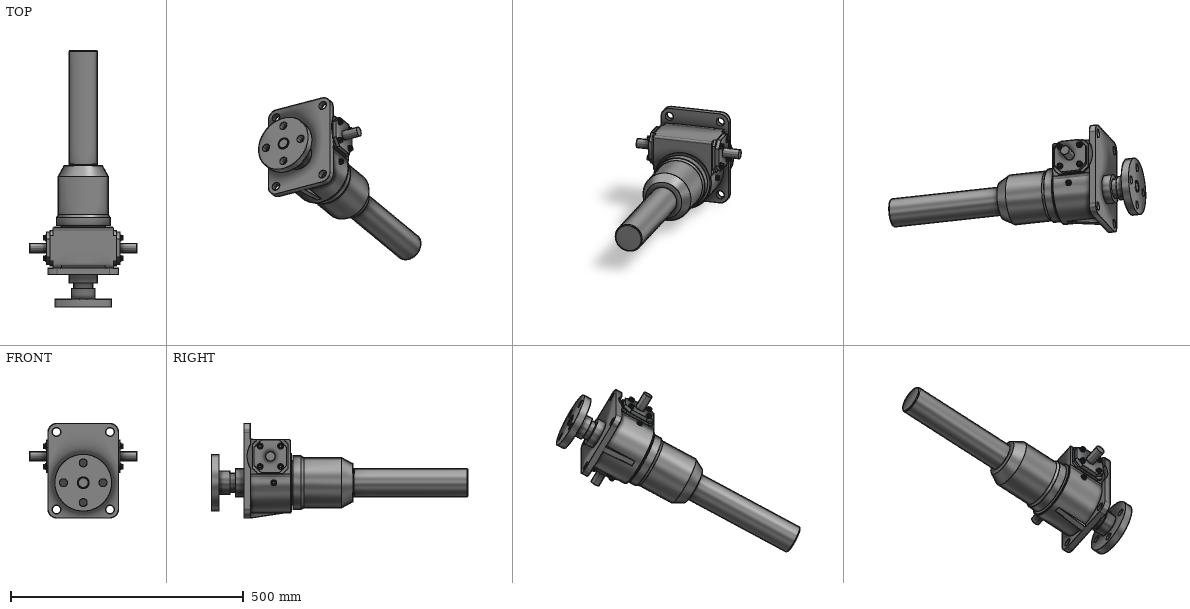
import cadquery as cq
import math

OVERALL_LENGTH = 551.1

PLATE_WIDTH = 152.0
PLATE_TOP = 127.6
PLATE_BOTTOM = -76.01
PLATE_THICKNESS = 14.0
PLATE_CORNER_RADIUS = 20.0
PLATE_HEIGHT = PLATE_TOP - PLATE_BOTTOM
PLATE_MID_Z = (PLATE_TOP + PLATE_BOTTOM) / 2
PLATE_HOLE_DIAMETER = 18.0
PLATE_HOLE_INSET = 18.5

WORM_Y = 56.7
WORM_Z = 56.7
WORM_SHAFT_RADIUS = 10.0
WORM_SHAFT_LENGTH = 230.69

BARREL_RADIUS = 65.0
HOUSING_BACK = 100.0
BOX_WIDTH = 131.0
BOX_HALF_HEIGHT = 36.6
BOX_TOP = WORM_Z + BOX_HALF_HEIGHT
BOX_BOTTOM = WORM_Z - BOX_HALF_HEIGHT
BOX_BACK_EDGE_RADIUS = 4.5
BOX_BARREL_FILLET = 5.6
RIB_THICKNESS = 12.0
RIB_BACK = 86.0
FOOT_WIDTH = 93.0
FOOT_LENGTH = 5.5
FOOT_RISE = 1.0

PAD_X = 71.0
PAD_HALF_LENGTH = 38.0
PAD_CORNER = 10.5
COVER_X = 79.0
COVER_HALF_SIZE = 35.0
COVER_CORNER = 15.5
PLATE_RELIEF_RADIUS = 50.0

BOLT_OFFSET = 22.0
WASHER_RADIUS = 6.25
WASHER_THICKNESS = 1.6
HEAD_RADIUS = 5.0
HEAD_HEIGHT = 4.6
SOCKET_ACROSS_FLATS = 5.0
SOCKET_DEPTH = 3.0
PLUG_Y = 64.0

COLLAR_RADIUS = 30.5
COLLAR_FRONT = -18.3
DISC_RADIUS = 62.5
DISC_BACK = 102.0
NECK_RADIUS = 47.7
RING_RADIUS = 58.0
RING_FRONT = 105.0
RING_BACK = 122.5
FLARE_RADIUS = 57.0
BELL_RADIUS = 54.0
BELL_FRONT = 128.5
BELL_SHOULDER = 210.0
BELL_BACK = 233.7
BELL_BACK_RADIUS = 41.0

SCREW_RADIUS = 20.8
SCREW_BACK = 450.0
PIN_RADIUS = 12.5
PIN_CHAMFER = 2.0
FLANGE_FRONT = -69.8
FLANGE_RADIUS = 61.0
FLANGE_THICKNESS = 16.7
FLANGE_HOLE_DIAMETER = 17.0
FLANGE_HOLE_CIRCLE_RADIUS = 42.5
HUB_RADIUS = 25.3
HUB_BACK = -30.0

TUBE_FRONT = 236.5
TUBE_BACK = FLANGE_FRONT + OVERALL_LENGTH
TUBE_RADIUS = 30.5
TUBE_CHAMFER = 2.0


def turned(profile):
    """Solid of revolution about the Y axis from (radius, Y) points."""
    return cq.Workplane("XY").polyline(profile).close().revolve(360, (0, 0, 0), (0, 1, 0))


def cylinder_y(radius, y_start, y_end, x=0.0, z=0.0):
    """Cylinder parallel to Y between two Y positions."""
    axis_start = cq.Vector(x, y_start, z)
    return cq.Workplane(obj=cq.Solid.makeCylinder(radius, y_end - y_start, axis_start, cq.Vector(0, 1, 0)))


def side_plane(side, x):
    """Plane facing outwards at distance x on the given side (+1 or -1); local Y is Z."""
    return cq.Plane(origin=(side * x, 0, 0), xDir=(0, side, 0), normal=(side, 0, 0))


def chamfered_block(side, x_start, x_end, half_length, half_height, corner):
    """Block about the worm axis, with cut corners, standing outwards along X."""
    block = cq.Workplane(side_plane(side, x_start)).center(side * WORM_Y, WORM_Z)
    block = block.rect(2 * half_length, 2 * half_height).extrude(x_end - x_start)
    return block.edges("|X").chamfer(corner)


def bolt_head(side, x_seat, y, z):
    """Washer and hexagon socket head standing on a seat at distance x_seat."""
    washer = cq.Workplane(side_plane(side, x_seat)).center(side * y, z)
    washer = washer.circle(WASHER_RADIUS).extrude(WASHER_THICKNESS)
    head = cq.Workplane(side_plane(side, x_seat + WASHER_THICKNESS)).center(side * y, z)
    head = head.circle(HEAD_RADIUS).extrude(HEAD_HEIGHT)
    across_corners = SOCKET_ACROSS_FLATS / math.cos(math.pi / 6)
    socket_floor = x_seat + WASHER_THICKNESS + HEAD_HEIGHT - SOCKET_DEPTH
    socket = cq.Workplane(side_plane(side, socket_floor)).center(side * y, z)
    head = head.cut(socket.polygon(6, across_corners).extrude(SOCKET_DEPTH))
    return washer.union(head)


def make_plate():
    plate = cq.Workplane("XY").box(PLATE_WIDTH, PLATE_THICKNESS, PLATE_HEIGHT)
    plate = plate.translate((0, PLATE_THICKNESS / 2, PLATE_MID_Z))
    plate = plate.edges("|Y").fillet(PLATE_CORNER_RADIUS)
    hole_x = PLATE_WIDTH / 2 - PLATE_HOLE_INSET
    for x in (-hole_x, hole_x):
        for z in (PLATE_BOTTOM + PLATE_HOLE_INSET, PLATE_TOP - PLATE_HOLE_INSET):
            plate = plate.cut(cylinder_y(PLATE_HOLE_DIAMETER / 2, 0, PLATE_THICKNESS, x, z))
    for side in (-1, 1):
        relief = cq.Workplane(side_plane(side, BOX_WIDTH / 2)).center(side * WORM_Y, WORM_Z)
        plate = plate.cut(relief.circle(PLATE_RELIEF_RADIUS).extrude(PLATE_WIDTH))
    return plate


def make_barrel_fillet(side):
    """Concave casting fillet below the box, tangent to the barrel and to the underside of the box."""
    centre_distance = BARREL_RADIUS + BOX_BARREL_FILLET
    centre_z = BOX_BOTTOM - BOX_BARREL_FILLET
    centre_x = math.sqrt(centre_distance**2 - centre_z**2)
    tangent_z = centre_z * BARREL_RADIUS / centre_distance
    length = HOUSING_BACK - PLATE_THICKNESS
    block = cq.Workplane("XY").box(BOX_WIDTH / 2, length, BOX_BOTTOM - tangent_z)
    block = block.translate((
        side * BOX_WIDTH / 4,
        PLATE_THICKNESS + length / 2,
        (BOX_BOTTOM + tangent_z) / 2,
    ))
    hollow = cylinder_y(BOX_BARREL_FILLET, PLATE_THICKNESS, HOUSING_BACK, side * centre_x, centre_z)
    return block.cut(hollow)


def make_housing_core():
    """Barrel and worm box with the casting fillets between them."""
    length = HOUSING_BACK - PLATE_THICKNESS
    box = cq.Workplane("XY").box(BOX_WIDTH, length, 2 * BOX_HALF_HEIGHT)
    box = box.translate((0, PLATE_THICKNESS + length / 2, WORM_Z))
    box = box.edges(">Y and >Z").fillet(BOX_BACK_EDGE_RADIUS)
    core = box.union(cylinder_y(BARREL_RADIUS, PLATE_THICKNESS, HOUSING_BACK))
    for side in (-1, 1):
        core = core.union(make_barrel_fillet(side))
    return core


def make_rib():
    """Wedge under the barrel, reaching the lower edge of the plate."""
    rib = cq.Workplane("YZ").polyline([
        (PLATE_THICKNESS, PLATE_BOTTOM),
        (RIB_BACK, -BARREL_RADIUS),
        (RIB_BACK, -BARREL_RADIUS / 2),
        (PLATE_THICKNESS, -BARREL_RADIUS / 2),
    ])
    return rib.close().extrude(RIB_THICKNESS / 2, both=True)


def make_foot():
    """Low ramp where the top of the box meets the plate."""
    foot = cq.Workplane("YZ").polyline([
        (PLATE_THICKNESS, BOX_TOP),
        (PLATE_THICKNESS + FOOT_LENGTH, BOX_TOP),
        (PLATE_THICKNESS, BOX_TOP + FOOT_RISE),
    ])
    return foot.close().extrude(FOOT_WIDTH / 2, both=True)


def make_worm_end(side):
    """Bearing pad, cover and bolts on one side of the box."""
    worm_end = chamfered_block(side, BOX_WIDTH / 2, PAD_X, PAD_HALF_LENGTH, BOX_HALF_HEIGHT, PAD_CORNER)
    cover = chamfered_block(side, PAD_X, COVER_X, COVER_HALF_SIZE, COVER_HALF_SIZE, COVER_CORNER)
    worm_end = worm_end.union(cover)
    for y in (WORM_Y - BOLT_OFFSET, WORM_Y + BOLT_OFFSET):
        for z in (WORM_Z - BOLT_OFFSET, WORM_Z + BOLT_OFFSET):
            worm_end = worm_end.union(bolt_head(side, COVER_X, y, z))
    return worm_end


def make_adapter_and_bell():
    return turned([
        (0, HOUSING_BACK),
        (DISC_RADIUS, HOUSING_BACK),
        (DISC_RADIUS, DISC_BACK),
        (NECK_RADIUS, DISC_BACK),
        (NECK_RADIUS, RING_FRONT),
        (RING_RADIUS, RING_FRONT),
        (RING_RADIUS, RING_BACK),
        (FLARE_RADIUS, RING_BACK),
        (BELL_RADIUS, BELL_FRONT),
        (BELL_RADIUS, BELL_SHOULDER),
        (BELL_BACK_RADIUS, BELL_BACK),
        (0, BELL_BACK),
    ])


def make_gearbox():
    gearbox = make_plate().union(make_housing_core()).union(make_rib()).union(make_foot())
    gearbox = gearbox.union(cylinder_y(COLLAR_RADIUS, COLLAR_FRONT, 0))
    gearbox = gearbox.union(make_adapter_and_bell())
    for side in (-1, 1):
        gearbox = gearbox.union(make_worm_end(side))
        gearbox = gearbox.union(bolt_head(side, BARREL_RADIUS - WASHER_THICKNESS / 2, PLUG_Y, 0))
    worm_shaft = cq.Workplane("YZ").center(WORM_Y, WORM_Z).circle(WORM_SHAFT_RADIUS)
    gearbox = gearbox.union(worm_shaft.extrude(WORM_SHAFT_LENGTH / 2, both=True))
    return gearbox.cut(cylinder_y(SCREW_RADIUS, COLLAR_FRONT, BELL_BACK))


def make_screw():
    """Lifting screw with a chamfered pin that carries the flange."""
    return turned([
        (0, FLANGE_FRONT),
        (PIN_RADIUS - PIN_CHAMFER, FLANGE_FRONT),
        (PIN_RADIUS, FLANGE_FRONT + PIN_CHAMFER),
        (PIN_RADIUS, HUB_BACK),
        (SCREW_RADIUS, HUB_BACK),
        (SCREW_RADIUS, SCREW_BACK),
        (0, SCREW_BACK),
    ])


def make_flange():
    flange = cylinder_y(FLANGE_RADIUS, FLANGE_FRONT, FLANGE_FRONT + FLANGE_THICKNESS)
    flange = flange.union(cylinder_y(HUB_RADIUS, FLANGE_FRONT, HUB_BACK))
    flange = flange.cut(cylinder_y(PIN_RADIUS, FLANGE_FRONT, HUB_BACK))
    for quarter in range(4):
        angle = quarter * math.pi / 2
        x = FLANGE_HOLE_CIRCLE_RADIUS * math.cos(angle)
        z = FLANGE_HOLE_CIRCLE_RADIUS * math.sin(angle)
        hole = cylinder_y(FLANGE_HOLE_DIAMETER / 2, FLANGE_FRONT, FLANGE_FRONT + FLANGE_THICKNESS, x, z)
        flange = flange.cut(hole)
    return flange


def make_tube():
    """Protective tube, closed at the back, over the end of the screw."""
    tube = cylinder_y(TUBE_RADIUS, TUBE_FRONT, TUBE_BACK)
    tube = tube.faces(">Y").edges().chamfer(TUBE_CHAMFER)
    return tube.cut(cylinder_y(SCREW_RADIUS, TUBE_FRONT, SCREW_BACK))


gearbox = make_gearbox()
screw = make_screw()
flange = make_flange()
tube = make_tube()

result = cq.Compound.makeCompound([gearbox.val(), screw.val(), flange.val(), tube.val()])